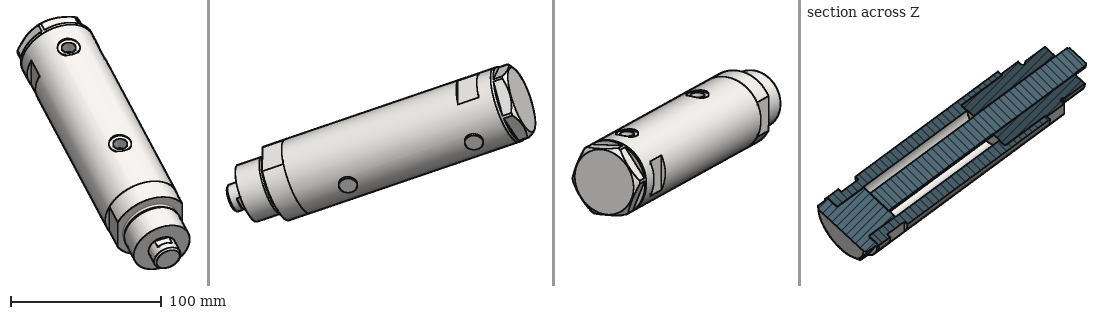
import cadquery as cq
import math


body_radius = 26.0
wrench_width = 46.0

hex_end = 9.0
tube_start = 11.0
spigot_end = 34.5
gland_seat = 126.8
tube_end = 163.0
gland_flange_end = 178.3
gland_end = 199.5
rod_end = 211.02

cap_face_radius = 22.5
cap_chamfer_length = 2.6
hex_corner_angle = 7.6

bore_radius = 16.0
gland_seat_radius = 21.5
tube_flat_start = 21.0
tube_flat_length = 15.0
port_positions = (30.4, 123.9)
port_radius = 4.75
spotface_radius = 7.5
spotface_height = 24.85
boss_positions = (34.7, 126.3)
boss_radius = 6.2
boss_projection = 1.1

thread_radius = 20.0
relief_radius = 18.8
relief_fillet = 1.0
relief_length = 2.5
thread_start_radius = 19.4
thread_lead_in = 1.25

rod_radius = 9.5
rod_chamfer = 1.3
rod_flat_width = 16.0
rod_flat_end = 205.1


def cylinder_x(radius, start, end):
    return cq.Workplane("YZ", origin=(start, 0, 0)).circle(radius).extrude(end - start)


def cylinder_z(radius, x, bottom, top):
    return cq.Workplane("XY", origin=(x, 0, bottom)).circle(radius).extrude(top - bottom)


def revolve_x(profile):
    """Revolve a closed (X, radius) outline about the X axis."""
    return profile.close().revolve(360, (0, 0, 0), (1, 0, 0))


def block_x(start, end, width_y, width_z):
    """Block centred on the X axis."""
    return cq.Workplane("YZ", origin=(start, 0, 0)).rect(width_y, width_z).extrude(end - start)


def cut_wrench_flats(body, start, end, width_y, width_z, radius):
    """Remove what lies outside the block, leaving parallel flats on the narrow sides."""
    waste = cylinder_x(radius, start, end).cut(block_x(start, end, width_y, width_z))
    return body.cut(waste)


def make_cap():
    turned_head = revolve_x(
        cq.Workplane("XY")
        .moveTo(0, 0)
        .lineTo(0, cap_face_radius)
        .lineTo(cap_chamfer_length, body_radius)
        .lineTo(hex_end, body_radius)
        .lineTo(hex_end, 0)
    )
    corner_diameter = wrench_width / math.cos(math.pi / 6)
    hexagon = (
        cq.Workplane("YZ")
        .polygon(6, corner_diameter)
        .extrude(hex_end)
        .rotate((0, 0, 0), (1, 0, 0), -hex_corner_angle)
    )
    collar = cylinder_x(body_radius, hex_end, tube_start)
    spigot = cylinder_x(bore_radius, tube_start, spigot_end)
    return turned_head.intersect(hexagon).union(collar).union(spigot)


def make_tube():
    tube = cylinder_x(body_radius, tube_start, tube_end)
    for x in boss_positions:
        tube = tube.union(cylinder_z(boss_radius, x, -body_radius - boss_projection, -bore_radius))
    tube = tube.cut(cylinder_x(bore_radius, tube_start, tube_end))
    tube = tube.cut(cylinder_x(gland_seat_radius, gland_seat, tube_end))
    tube = cut_wrench_flats(
        tube,
        tube_flat_start,
        tube_flat_start + tube_flat_length,
        wrench_width,
        2 * body_radius,
        body_radius,
    )
    for x in port_positions:
        tube = tube.cut(cylinder_z(port_radius, x, 0, body_radius))
        tube = tube.cut(cylinder_z(spotface_radius, x, spotface_height, body_radius))
    return tube


def make_gland():
    relief_end = gland_flange_end + relief_length
    arc_centre_x = gland_flange_end + relief_fillet
    arc_centre_radius = relief_radius + relief_fillet
    arc_offset = relief_fillet * math.sqrt(0.5)
    gland = revolve_x(
        cq.Workplane("XY")
        .moveTo(gland_seat, rod_radius)
        .lineTo(gland_seat, gland_seat_radius)
        .lineTo(tube_end, gland_seat_radius)
        .lineTo(tube_end, body_radius)
        .lineTo(gland_flange_end, body_radius)
        .lineTo(gland_flange_end, arc_centre_radius)
        .threePointArc(
            (arc_centre_x - arc_offset, arc_centre_radius - arc_offset),
            (arc_centre_x, relief_radius),
        )
        .lineTo(relief_end, relief_radius)
        .lineTo(relief_end, thread_start_radius)
        .lineTo(relief_end + thread_lead_in, thread_radius)
        .lineTo(gland_end, thread_radius)
        .lineTo(gland_end, rod_radius)
    )
    return cut_wrench_flats(
        gland, tube_end, gland_flange_end, wrench_width, 2 * body_radius, body_radius
    )


def make_rod():
    rod = cylinder_x(rod_radius, spigot_end, rod_end).faces(">X").chamfer(rod_chamfer)
    return cut_wrench_flats(
        rod, gland_end, rod_flat_end, 2 * rod_radius, rod_flat_width, rod_radius
    )


cap = make_cap()
tube = make_tube()
gland = make_gland()
rod = make_rod()

result = cq.Compound.makeCompound([cap.val(), tube.val(), gland.val(), rod.val()])